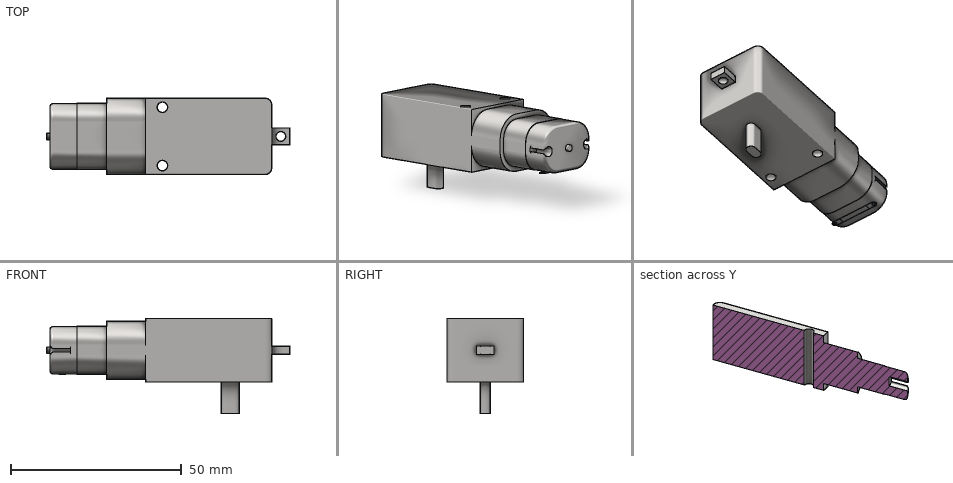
import cadquery as cq


box_length = 36.95
box_width = 22.4
box_height = 18.7
end_corner_radius = 2.0
top_edge_radius = 0.3
bottom_edge_radius = 0.15

mount_hole_diameter = 3.0
mount_hole_x = 4.9
mount_hole_spacing = 17.1

sleeve_length = 11.4
sleeve_height = 17.1
sleeve_radius = 7.0
can_length = 8.75
can_width = 19.45
can_height = 14.1
can_radius = 5.5
cap_length = 7.9
cap_inset = 0.1
cap_edge_radius = 1.0

vent_diameter = 3.0
vent_spacing = 16.5
vent_depth = 6.1

boss_length = 0.9
boss_diameter = 2.0
boss_edge_radius = 0.2

terminal_x = 3.6
terminal_width = 1.8
terminal_span = 15.8
terminal_thickness = 0.1
terminal_hole_diameter = 1.0

shaft_x = 24.8
shaft_width = 5.4
shaft_thickness = 3.0
shaft_length = 9.2

tab_length = 5.3
tab_width = 5.0
tab_thickness = 2.4
tab_hole_diameter = 2.8

sleeve_start = -sleeve_length
can_start = sleeve_start - can_length
cap_start = can_start - cap_length


def motor_section(start, length, width, height, corner_radius):
    """Rounded rectangular block along X."""
    return (
        cq.Workplane("YZ", origin=(start, 0, 0))
        .rect(width, height)
        .extrude(length)
        .edges("|X")
        .fillet(corner_radius)
    )


def make_gearbox():
    return (
        cq.Workplane("XY")
        .box(box_length, box_width, box_height, centered=(False, True, True))
        .edges("|Z and >X")
        .fillet(end_corner_radius)
        .faces(">Z")
        .edges("not <X")
        .fillet(top_edge_radius)
        .faces("<Z")
        .edges("not <X")
        .fillet(bottom_edge_radius)
    )


def make_cap():
    vents = (
        cq.Workplane("YZ", origin=(cap_start, 0, 0))
        .pushPoints([(-vent_spacing / 2, 0), (vent_spacing / 2, 0)])
        .circle(vent_diameter / 2)
        .extrude(vent_depth)
    )
    cap_width = can_width - 2 * cap_inset
    cap_height = can_height - 2 * cap_inset
    block = motor_section(cap_start, cap_length, cap_width, cap_height, can_radius - cap_inset)
    return block.faces("<X").edges().fillet(cap_edge_radius).cut(vents)


def make_boss():
    return (
        cq.Workplane("YZ", origin=(cap_start, 0, 0))
        .circle(boss_diameter / 2)
        .extrude(-boss_length)
        .faces("<X")
        .edges()
        .fillet(boss_edge_radius)
    )


def make_terminals():
    eye_y = (terminal_span - terminal_width) / 2
    return (
        cq.Workplane("XY", origin=(cap_start + terminal_x, 0, -can_height / 2))
        .slot2D(terminal_span, terminal_width, 90)
        .pushPoints([(0, -eye_y), (0, eye_y)])
        .circle(terminal_hole_diameter / 2)
        .extrude(terminal_thickness)
    )


def make_shaft():
    return (
        cq.Workplane("XY", origin=(shaft_x, 0, -box_height / 2 - shaft_length))
        .slot2D(shaft_width, shaft_thickness)
        .extrude(shaft_length + box_height / 2)
    )


def make_tab():
    return (
        cq.Workplane("XY", origin=(box_length, 0, 0))
        .box(tab_length, tab_width, tab_thickness, centered=(False, True, True))
        .faces(">Z")
        .workplane(centerOption="CenterOfBoundBox")
        .hole(tab_hole_diameter)
    )


mount_holes = (
    cq.Workplane("XY", origin=(mount_hole_x, 0, -box_height / 2))
    .pushPoints([(0, -mount_hole_spacing / 2), (0, mount_hole_spacing / 2)])
    .circle(mount_hole_diameter / 2)
    .extrude(box_height)
)

result = (
    make_gearbox()
    .cut(mount_holes)
    .union(motor_section(sleeve_start, sleeve_length, box_width, sleeve_height, sleeve_radius))
    .union(motor_section(can_start, can_length, can_width, can_height, can_radius))
    .union(make_cap())
    .union(make_boss())
    .union(make_terminals())
    .union(make_shaft())
    .union(make_tab())
)